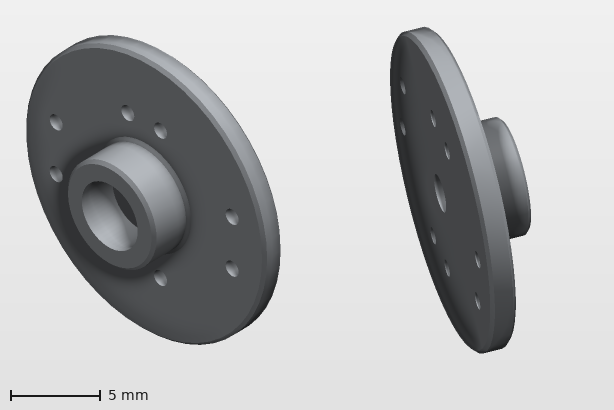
import cadquery as cq

disc_diameter = 18.5
disc_thickness = 1.5
edge_chamfer = 0.2

total_depth = 4.3
hub_diameter = 6.8
hub_root_chamfer = 0.2

shaft_diameter = 2.2
counterbore_diameter = 4.3
counterbore_depth = 2.5

hole_diameter = 1.0
vertical_pair_half_spacing = 1.25
vertical_pair_offset = 5.0
side_pair_half_spacing = 1.75
side_pair_offset = 6.75


def make_body():
    """Revolve the half profile of disc and hub, with all edge chamfers, about the Y axis."""
    disc_radius = disc_diameter / 2
    hub_radius = hub_diameter / 2
    profile = [
        (0, 0),
        (disc_radius - edge_chamfer, 0),
        (disc_radius, -edge_chamfer),
        (disc_radius, -disc_thickness + edge_chamfer),
        (disc_radius - edge_chamfer, -disc_thickness),
        (hub_radius + hub_root_chamfer, -disc_thickness),
        (hub_radius, -disc_thickness - hub_root_chamfer),
        (hub_radius, -total_depth + edge_chamfer),
        (hub_radius - edge_chamfer, -total_depth),
        (0, -total_depth),
    ]
    return cq.Workplane("XY").polyline(profile).close().revolve(360, (0, 0, 0), (0, 1, 0))


def cut_bore(body):
    """Cut the shaft hole right through and the wider counterbore from the hub end."""
    hub_end = cq.Workplane("XZ", origin=(0, -total_depth, 0))
    shaft_hole = hub_end.circle(shaft_diameter / 2).extrude(-total_depth)
    counterbore = hub_end.circle(counterbore_diameter / 2).extrude(-counterbore_depth)
    return body.cut(shaft_hole).cut(counterbore)


def cut_mounting_holes(body):
    """Drill the eight small holes through the disc, mirrored about both centre planes."""
    centres = []
    for x_side in (-1, 1):
        for z_side in (-1, 1):
            centres.append((x_side * vertical_pair_half_spacing, z_side * vertical_pair_offset))
            centres.append((x_side * side_pair_offset, z_side * side_pair_half_spacing))
    holes = cq.Workplane("XZ").pushPoints(centres).circle(hole_diameter / 2).extrude(disc_thickness)
    return body.cut(holes)


result = cut_mounting_holes(cut_bore(make_body()))